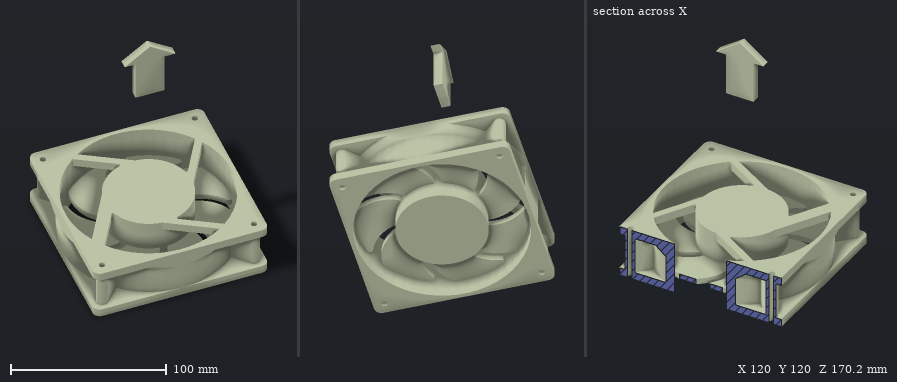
import cadquery as cq
import math

side = 120.0
height = 38.0
flange_height = 6.0
corner_radius = 5.0
half_side = side / 2

bore_diameter = 114.5
barrel_radius = 59.9
flare_height = 6.0
flare_angle = 30.0
flare_radius = barrel_radius + flare_height * math.tan(math.radians(flare_angle))
flare_top = height - flange_height
flare_bottom = flare_top - flare_height

hole_offset = 52.5
hole_diameter = 4.3
post_diameter = 8.0

block_width = 29.1
block_depth = 5.1

hub_diameter = 60.0
strut_angle = -30.0
narrow_strut = (22.1, 27.0)
wide_strut = (20.5, 29.3)
struts = [narrow_strut, narrow_strut, wide_strut, narrow_strut]
strut_height = 6.0
strut_fillet = 1.0

blade_count = 7
blade_tip_radius = 56.3
blade_bottom = 11.9
blade_thickness = 4.0
blade_edge_radius = 28.0
blade_arc_distance = 35.4
leading_arc_angle = 45.9
trailing_arc_angle = 4.1
blade_tip_fillet = 2.0

total_height = 170.2
arrow_thickness = 6.0
arrow_height = 42.2
arrow_head_height = 12.3
arrow_head_width = 35.0
arrow_shaft_width = 20.0


def cylinder(radius, bottom, top):
    return cq.Workplane("XY").workplane(offset=bottom).circle(radius).extrude(top - bottom)


def make_flange(bottom):
    plate = cq.Workplane("XY").workplane(offset=bottom).rect(side, side).extrude(flange_height)
    return plate.edges("|Z").fillet(corner_radius)


def make_barrel():
    """Barrel wall with a conical flare that is trimmed to the square frame."""
    flare = (
        cq.Workplane("XZ")
        .moveTo(0, flare_bottom)
        .lineTo(barrel_radius, flare_bottom)
        .lineTo(flare_radius, flare_top)
        .lineTo(0, flare_top)
        .close()
        .revolve(360, (0, 0, 0), (0, 1, 0))
    )
    frame_box = cq.Workplane("XY").rect(side, side).extrude(height)
    return cylinder(barrel_radius, 0, flare_top).union(flare.intersect(frame_box))


def make_diagonal_webs():
    """Two crossing round-ended bars; their ends are the four corner posts."""
    length = 2 * math.hypot(hole_offset, hole_offset) + post_diameter
    webs = cq.Workplane("XY")
    for angle in (45, -45):
        webs = webs.union(cq.Workplane("XY").slot2D(length, post_diameter, angle).extrude(flare_top))
    return webs


def make_side_block():
    """Block that fills the -X side, widening inwards at 45 degrees."""
    inner_half_width = block_width / 2 + block_depth
    return (
        cq.Workplane("XY")
        .moveTo(-half_side, -block_width / 2)
        .lineTo(-half_side, block_width / 2)
        .lineTo(-half_side + block_depth, inner_half_width)
        .lineTo(-half_side + block_depth, -inner_half_width)
        .close()
        .extrude(flare_top)
    )


def make_frame():
    frame = make_flange(0).union(make_flange(height - flange_height))
    frame = frame.union(make_barrel()).union(make_diagonal_webs()).union(make_side_block())
    holes = (
        cq.Workplane("XY")
        .rect(2 * hole_offset, 2 * hole_offset, forConstruction=True)
        .vertices()
        .circle(hole_diameter / 2)
        .extrude(height)
    )
    return frame.cut(cylinder(bore_diameter / 2, 0, height)).cut(holes)


def make_struts_and_hub():
    """Hub held by off-centre struts that end in the barrel wall."""
    hub_radius = hub_diameter / 2
    wall_middle_radius = (bore_diameter / 2 + barrel_radius) / 2
    spider = cylinder(hub_radius, height - strut_height, height)
    for index, (inner_edge, outer_edge) in enumerate(struts):
        turn = strut_angle + index * 360 / len(struts)
        strut = (
            cq.Workplane("XY")
            .workplane(offset=height - strut_height)
            .center(-wall_middle_radius / 2, (inner_edge + outer_edge) / 2)
            .rect(wall_middle_radius, outer_edge - inner_edge)
            .extrude(strut_height)
            .rotate((0, 0, 0), (0, 0, 1), turn)
        )
        spider = spider.union(strut)
    spider = spider.intersect(cylinder(wall_middle_radius, 0, height))

    for index, (inner_edge, outer_edge) in enumerate(struts):
        turn = strut_angle + index * 360 / len(struts)
        angle = math.radians(turn + 180 - math.degrees(math.asin(inner_edge / hub_radius)))
        corner = (hub_radius * math.cos(angle), hub_radius * math.sin(angle), height - strut_height / 2)
        spider = spider.edges(cq.selectors.NearestToPointSelector(corner)).fillet(strut_fillet)
    return spider.union(cylinder(hub_radius, 0, height))


def make_blade():
    """Flat crescent between two equal arcs, trimmed to the tip circle; its root lies in the hub."""
    top = blade_bottom + blade_thickness

    def edge_disc(angle):
        turn = math.radians(angle)
        centre = (blade_arc_distance * math.cos(turn), blade_arc_distance * math.sin(turn), 0)
        return cylinder(blade_edge_radius, blade_bottom, top).translate(centre)

    blade = edge_disc(leading_arc_angle).cut(edge_disc(trailing_arc_angle))
    blade = blade.intersect(cylinder(blade_tip_radius, blade_bottom, top))
    return blade.edges("|Z and >X").fillet(blade_tip_fillet)


def make_fan():
    fan = make_frame().union(make_struts_and_hub())
    blade = make_blade()
    for index in range(blade_count):
        fan = fan.union(blade.rotate((0, 0, 0), (0, 0, 1), index * 360 / blade_count))
    return fan


def make_arrow():
    shoulder = total_height - arrow_head_height
    base = total_height - arrow_height
    return (
        cq.Workplane("YZ")
        .moveTo(0, total_height)
        .lineTo(arrow_head_width / 2, shoulder)
        .lineTo(arrow_shaft_width / 2, shoulder)
        .lineTo(arrow_shaft_width / 2, base)
        .lineTo(-arrow_shaft_width / 2, base)
        .lineTo(-arrow_shaft_width / 2, shoulder)
        .lineTo(-arrow_head_width / 2, shoulder)
        .close()
        .extrude(arrow_thickness / 2, both=True)
    )


fan = make_fan()
arrow = make_arrow()
result = cq.Compound.makeCompound([fan.solids().val(), arrow.solids().val()])